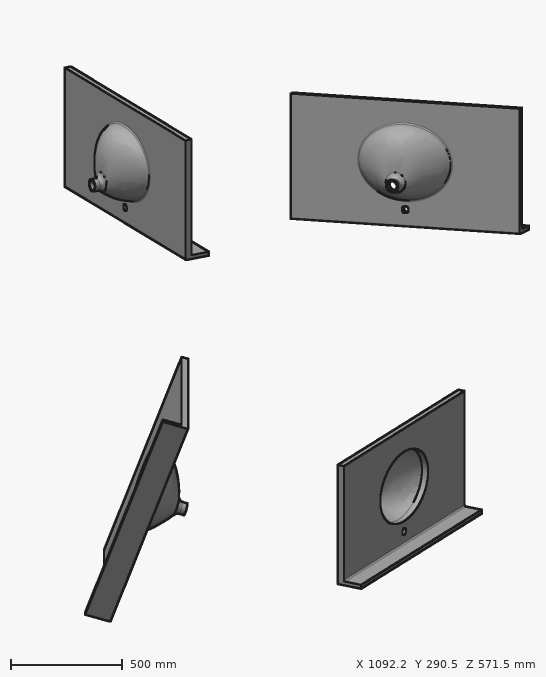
import cadquery as cq
import math

slab_length = 1092.2
slab_height = 571.5
slab_thickness = 31.75
lip_depth = 120.65
lip_thickness = 19.05
edge_radius = 6.35

overall_depth = 290.51
wall = 6.35
drain_z = 214.25
drain_diameter = 57.15
faucet_hole_diameter = 31.75
faucet_hole_z = 77.5
floor_depth = 124.0
neck_length = 21.0
neck_start = math.radians(30)

bowl_section_count = 9
neck_section_count = 5
oval_point_count = 16

UP = (252.75, 54.0, 2.4, 2.0)
DOWN = (92.75, 38.0, 1.0, 1.85)
SIDE = (222.5, 47.0, 1.3, 1.2)

drain_radius = drain_diameter / 2
pipe_end_depth = overall_depth - lip_depth
neck_end_depth = floor_depth + neck_length


def bowl_reach(direction, depth_fraction):
    """Reach of the outer bowl surface in one direction at a fraction of the floor depth."""
    rim, floor, p, q = direction
    return floor + (rim - floor) * (1 - depth_fraction ** q) ** (1 / p)


def oval(depth, up, down, side):
    """Closed elliptical wire parallel to the slab, spanning the given reaches."""
    half_height = (up + down) / 2
    center_z = drain_z + (up - down) / 2
    points = []
    for i in range(oval_point_count):
        angle = 2 * math.pi * i / oval_point_count
        x = side * math.sin(angle)
        z = center_z + half_height * math.cos(angle)
        points.append(cq.Vector(x, -depth, z))
    return cq.Wire.assembleEdges([cq.Edge.makeSpline(points, periodic=True)])


def bowl_and_drain(inset):
    """Bowl, neck and drain pipe as one solid, drawn in from the outer surface by the inset."""
    bowl_depth = floor_depth - inset
    sections = []
    for i in range(bowl_section_count):
        fraction = math.sin(math.pi / 2 * i / (bowl_section_count - 1))
        reaches = [bowl_reach(direction, fraction) - inset for direction in (UP, DOWN, SIDE)]
        sections.append(oval(fraction * bowl_depth, *reaches))
    bowl = cq.Solid.makeLoft(sections)

    pipe_radius = drain_radius - inset
    neck_depth = neck_end_depth - bowl_depth
    sections = []
    for i in range(neck_section_count):
        angle = neck_start + (math.pi / 2 - neck_start) * i / (neck_section_count - 1)
        flare_left = (1 - math.sin(angle)) / (1 - math.sin(neck_start))
        reaches = []
        for direction in (UP, DOWN, SIDE):
            flare = bowl_reach(direction, 1) - inset - pipe_radius
            reaches.append(pipe_radius + flare * flare_left)
        depth = bowl_depth + neck_depth * (1 - math.cos(angle) / math.cos(neck_start))
        sections.append(oval(depth, *reaches))
    neck = cq.Solid.makeLoft(sections)

    pipe_vector = cq.Vector(0, neck_end_depth - pipe_end_depth, 0)
    pipe = cq.Solid.extrudeLinear(sections[-1], [], pipe_vector)
    return cq.Workplane(bowl).union(cq.Workplane(neck)).union(cq.Workplane(pipe))


def slab_with_lip():
    """Slab and its lip, extruded along X from an L-shaped profile."""
    return (
        cq.Workplane("YZ")
        .polyline([
            (0, 0),
            (lip_depth, 0),
            (lip_depth, lip_thickness),
            (slab_thickness, lip_thickness),
            (slab_thickness, slab_height),
            (0, slab_height),
        ])
        .close()
        .extrude(slab_length / 2, both=True)
        .edges(cq.selectors.NearestToPointSelector((0, slab_thickness, lip_thickness)))
        .fillet(edge_radius)
        .edges(cq.selectors.NearestToPointSelector((0, 0, 0)))
        .fillet(edge_radius)
    )


def rim_opening():
    """Straight opening through the slab, shaped like the inside of the bowl's rim."""
    reaches = [bowl_reach(direction, 0) - wall for direction in (UP, DOWN, SIDE)]
    rim = oval(0, *reaches)
    return cq.Workplane(cq.Solid.extrudeLinear(rim, [], cq.Vector(0, slab_thickness, 0)))


def faucet_hole():
    """Round cutter through the slab beside the bowl."""
    return cq.Workplane(cq.Solid.makeCylinder(
        faucet_hole_diameter / 2,
        slab_thickness,
        cq.Vector(0, 0, faucet_hole_z),
        cq.Vector(0, 1, 0),
    ))


result = (
    slab_with_lip()
    .union(bowl_and_drain(0))
    .edges("%BSPLINE")
    .edges(">Y")
    .fillet(edge_radius)
    .cut(bowl_and_drain(wall))
    .cut(rim_opening())
    .cut(faucet_hole())
)